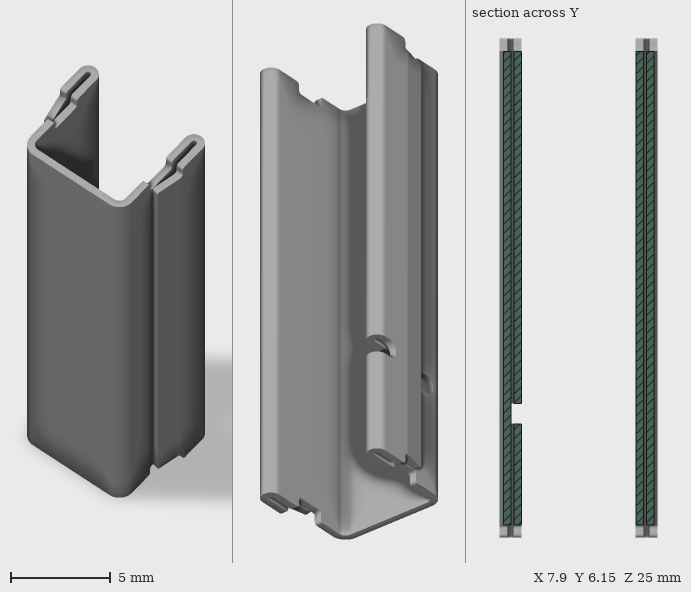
import cadquery as cq
import math

length = 25.0
width = 7.9
depth = 6.15
sheet = 0.4

fold_gap = 0.3
fold_outer_radius = sheet + fold_gap / 2
fold_inner_radius = fold_gap / 2
corner_outer_radius = 0.8
corner_inner_radius = corner_outer_radius - sheet

kink_drop = 2.32
kink_outer_radius = 0.6
lip_slant_length = 1.48
lip_angle = math.radians(12)
lip_corner_radius = 0.15

notch_near_drop = 2.12
notch_far_drop = 3.88
notch_depth = 0.62
notch_radius = 0.18

slot_width = 1.0
slot_height = 6.2
slot_wall_drop = 5.25
slot_lip_drop = 1.4

half_length = length / 2
crest = depth / 2
base = -depth / 2
outer_x = width / 2
lip_inner_x = outer_x - sheet
wall_outer_x = lip_inner_x - fold_gap
wall_inner_x = wall_outer_x - sheet
fold_center_x = outer_x - fold_outer_radius
fold_center_y = crest - fold_outer_radius
kink_y = crest - kink_drop
slant_x = lip_slant_length * math.sin(lip_angle)
slant_y = lip_slant_length * math.cos(lip_angle)
lip_end_outer = (outer_x - slant_x, kink_y - slant_y)
lip_end_inner = (
    lip_end_outer[0] - sheet * math.cos(lip_angle),
    lip_end_outer[1] + sheet * math.sin(lip_angle),
)
slot_z = slot_height - half_length


def make_channel():
    """Channel with a U section reaching up to the start of the folds."""
    def rounded_box(half_width, floor_y, radius):
        height = fold_center_y - floor_y
        box = cq.Workplane("XY").box(2 * half_width, height, length)
        box = box.translate((0, floor_y + height / 2, 0))
        return box.edges("|Z and <Y").fillet(radius)

    outside = rounded_box(wall_outer_x, base, corner_outer_radius)
    inside = rounded_box(wall_inner_x, base + sheet, corner_inner_radius)
    return outside.cut(inside)


def make_fold():
    """Fold and straight lip of the +X wall, ending in the slanted lip."""
    inner_kink_y = kink_y + sheet * math.tan(lip_angle / 2)
    sketch = (
        cq.Workplane("XY")
        .moveTo(wall_inner_x, fold_center_y)
        .threePointArc((fold_center_x, crest), (outer_x, fold_center_y))
        .lineTo(outer_x, kink_y)
        .lineTo(*lip_end_outer)
        .lineTo(*lip_end_inner)
        .lineTo(lip_inner_x, inner_kink_y)
        .lineTo(lip_inner_x, fold_center_y)
        .threePointArc(
            (fold_center_x, fold_center_y + fold_inner_radius),
            (wall_outer_x, fold_center_y),
        )
        .close()
    )
    fold = sketch.extrude(length).translate((0, 0, -half_length))
    outer_kink = cq.selectors.NearestToPointSelector((outer_x, kink_y, 0))
    fold = fold.edges(outer_kink).fillet(kink_outer_radius)
    inner_kink = cq.selectors.NearestToPointSelector((lip_inner_x, inner_kink_y, 0))
    return fold.edges(inner_kink).fillet(kink_outer_radius - sheet)


def make_notch(far_drop):
    """Cutter for the top end: rounded floor corners and a flared mouth."""
    near_y = crest - notch_near_drop
    far_y = crest - far_drop
    floor_z = half_length - notch_depth
    r = notch_radius
    return (
        cq.Workplane("YZ")
        .moveTo(near_y + r, half_length)
        .radiusArc((near_y, half_length - r), -r)
        .lineTo(near_y, floor_z + r)
        .radiusArc((near_y - r, floor_z), r)
        .lineTo(far_y + r, floor_z)
        .radiusArc((far_y, floor_z + r), r)
        .lineTo(far_y, half_length - r)
        .radiusArc((far_y - r, half_length), -r)
        .close()
        .extrude(outer_x, both=True)
    )


def round_lip_corners(fold):
    """Round the two free corners of the lip where it meets the notches."""
    middle_x = (lip_end_outer[0] + lip_end_inner[0]) / 2
    middle_y = (lip_end_outer[1] + lip_end_inner[1]) / 2
    corner_z = half_length - notch_depth
    for z in (corner_z, -corner_z):
        corner = cq.selectors.NearestToPointSelector((middle_x, middle_y, z))
        fold = fold.edges(corner).fillet(lip_corner_radius)
    return fold


def make_slot(tip_drop, start_x, end_x):
    """Slot open at the fold crest, with a round tip, between two X planes."""
    radius = slot_width / 2
    tip_center_y = crest - tip_drop + radius
    return (
        cq.Workplane("YZ", origin=(start_x, 0, 0))
        .moveTo(crest, slot_z + radius)
        .lineTo(tip_center_y, slot_z + radius)
        .threePointArc((crest - tip_drop, slot_z), (tip_center_y, slot_z - radius))
        .lineTo(crest, slot_z - radius)
        .close()
        .extrude(end_x - start_x)
    )


def cut_both_ends(shape, notch):
    return shape.cut(notch).cut(notch.mirror("XY"))


fold = cut_both_ends(make_fold(), make_notch(notch_far_drop + lip_slant_length))
fold = round_lip_corners(fold)
channel = cut_both_ends(make_channel(), make_notch(notch_far_drop))
body = channel.union(fold).union(fold.mirror("YZ"))

wall_slot = make_slot(slot_wall_drop, -wall_outer_x, -wall_inner_x)
lip_slot = make_slot(slot_lip_drop, -outer_x, -wall_outer_x)
result = body.cut(wall_slot).cut(lip_slot)